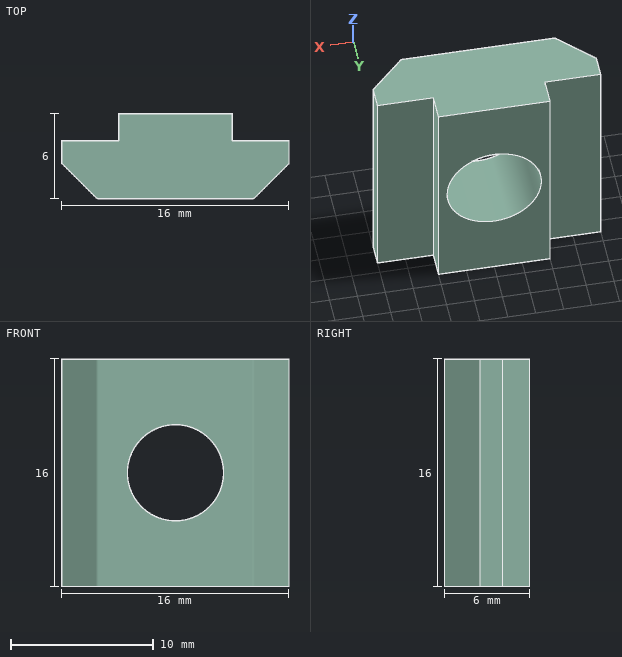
import cadquery as cq

width = 16.0
depth = 6.0
length = 16.0

tongue_width = 8.0
tongue_height = 1.9

flank_size = 2.5
edge_radius = 0.25

hole_diameter = 6.75

front_y = -depth / 2
back_y = depth / 2
shoulder_y = back_y - tongue_height
flank_y = front_y + flank_size
half_width = width / 2
half_tongue = tongue_width / 2
half_front = half_width - flank_size


def nut_body():
    """T-shaped profile extruded over the full length."""
    profile = [
        (-half_front, front_y),
        (half_front, front_y),
        (half_width, flank_y),
        (half_width, shoulder_y),
        (half_tongue, shoulder_y),
        (half_tongue, back_y),
        (-half_tongue, back_y),
        (-half_tongue, shoulder_y),
        (-half_width, shoulder_y),
        (-half_width, flank_y),
    ]
    body = cq.Workplane("XY", origin=(0, 0, -length / 2)).polyline(profile).close().extrude(length)
    return body.faces("<Y").edges("|Z").fillet(edge_radius)


def through_hole():
    """Cylinder along Y through the centre of the nut."""
    return cq.Workplane("XZ", origin=(0, back_y, 0)).circle(hole_diameter / 2).extrude(depth)


result = nut_body().cut(through_hole())